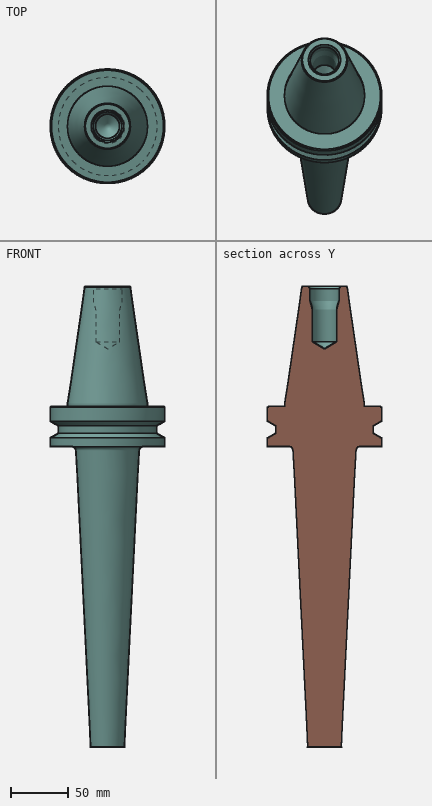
import cadquery as cq
import math

total_length = 402.0
taper_length = 102.0
gauge_radius = 35.0
taper_ratio = 7 / 24
taper_tip_radius = gauge_radius - taper_length * taper_ratio / 2
taper_tip_chamfer = 1.0

flange_radius = 50.02
flange_top = -2.5
flange_bottom = -37.8
flange_edge_chamfer = 1.2
groove_floor_radius = 43.0
groove_floor_top = -19.5
groove_floor_bottom = -26.0
groove_wall_angle = 30
groove_wall_height = (flange_radius - groove_floor_radius) * math.tan(math.radians(groove_wall_angle))

nose_bottom = taper_length - total_length
nose_tip_radius = 15.0
nose_root_radius = 27.7
root_fillet = 3.5

mouth_radius = 14.0
mouth_chamfer_depth = 2.0
counterbore_radius = 12.5
counterbore_depth = 13.0
bore_radius = 10.5
lead_in_angle = 30
lead_in_depth = (counterbore_radius - bore_radius) / math.tan(math.radians(lead_in_angle / 2))
bore_depth = 48.2
drill_point_angle = 118
drill_point_depth = bore_radius / math.tan(math.radians(drill_point_angle / 2))


def make_body():
    """Revolve the outer profile, from the taper tip down to the nose tip."""
    root_start = flange_bottom - root_fillet
    arc_offset = root_fillet * (1 - math.sqrt(0.5))
    profile = (
        cq.Workplane("YZ")
        .moveTo(0, taper_length)
        .lineTo(taper_tip_radius - taper_tip_chamfer, taper_length)
        .lineTo(taper_tip_radius, taper_length - taper_tip_chamfer)
        .lineTo(gauge_radius, 0)
        .lineTo(gauge_radius, flange_top)
        .lineTo(flange_radius - flange_edge_chamfer, flange_top)
        .lineTo(flange_radius, flange_top - flange_edge_chamfer)
        .lineTo(flange_radius, groove_floor_top + groove_wall_height)
        .lineTo(groove_floor_radius, groove_floor_top)
        .lineTo(groove_floor_radius, groove_floor_bottom)
        .lineTo(flange_radius, groove_floor_bottom - groove_wall_height)
        .lineTo(flange_radius, flange_bottom)
        .lineTo(nose_root_radius + root_fillet, flange_bottom)
        .threePointArc(
            (nose_root_radius + arc_offset, flange_bottom - arc_offset),
            (nose_root_radius, root_start),
        )
        .lineTo(nose_tip_radius, nose_bottom)
        .lineTo(0, nose_bottom)
        .close()
    )
    return profile.revolve(360, (0, 0), (0, 1))


def make_bore():
    """Revolve the chamfered counterbore, the conical lead-in, the bore and its drill point."""
    counterbore_end = taper_length - counterbore_depth
    bore_floor = taper_length - bore_depth
    profile = (
        cq.Workplane("YZ")
        .moveTo(0, taper_length)
        .lineTo(mouth_radius, taper_length)
        .lineTo(counterbore_radius, taper_length - mouth_chamfer_depth)
        .lineTo(counterbore_radius, counterbore_end)
        .lineTo(bore_radius, counterbore_end - lead_in_depth)
        .lineTo(bore_radius, bore_floor)
        .lineTo(0, bore_floor - drill_point_depth)
        .close()
    )
    return profile.revolve(360, (0, 0), (0, 1))


result = make_body().cut(make_bore())